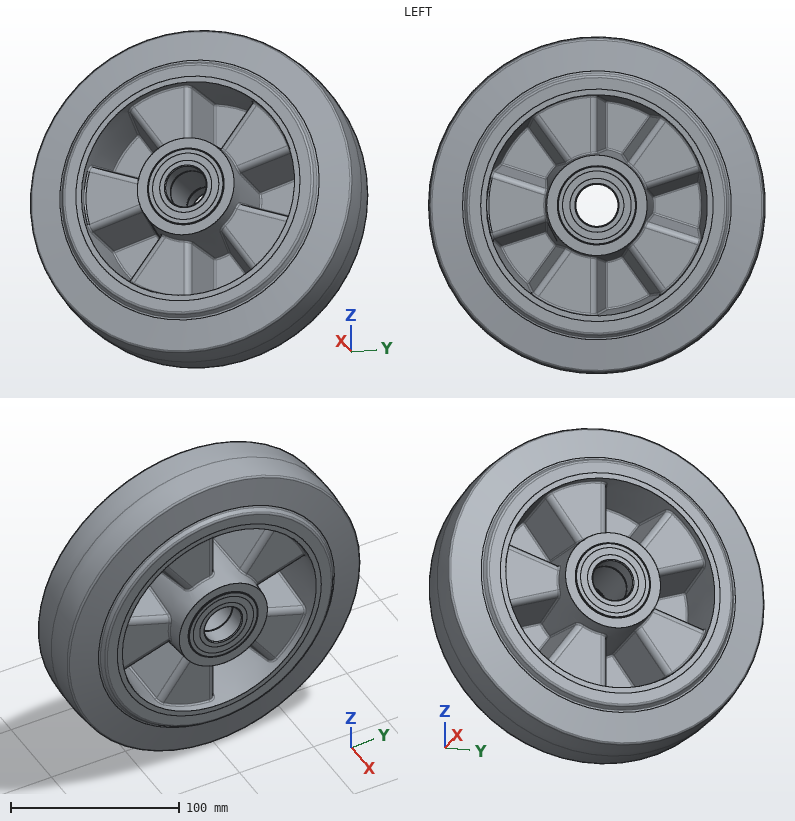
import cadquery as cq
import math

TYRE_RADIUS = 100.0
HUB_WIDTH = 60.0
RIM_WIDTH = 50.0

TYRE_BORE_RADIUS = 69.0
RIM_EDGE_RADIUS = 75.8
BEAD_TOP_RADIUS = 77.2
BEAD_TOP_HALF_WIDTH = 24.2
BEAD_FOOT_RADIUS = 78.5
BEAD_FOOT_HALF_WIDTH = 21.8
SIDEWALL_FOOT_RADIUS = 79.8
SIDEWALL_FOOT_HALF_WIDTH = 21.5
SIDEWALL_TOP_RADIUS = 98.0
SIDEWALL_TOP_HALF_WIDTH = 18.8
TREAD_EDGE_RADIUS = 99.0
TREAD_EDGE_HALF_WIDTH = 17.5
CORNER_BULGE = 0.15

HUB_RADIUS = 29.8
POCKET_RADIUS = 65.5
POCKET_DRAFT = 5.0
SPOKE_DRAFT = 10.0
WEB_HALF_SPAN = 19.5
WEB_THICKNESS = 5.0
SPOKE_THICKNESS = 6.0
DEEP_POCKETS = 5
HUB_TRIM = 2.0
SPOKE_EDGE_FILLET = 4.0
POCKET_FILLET = 1.0

BEARING_WIDTH = 12.0
BEARING_DIAMETER = 47.0
OUTER_RING_BORE_RADIUS = 20.5
INNER_RING_RADIUS = 16.0
BORE_DIAMETER = 25.0
RING_CHAMFER = 0.5

TOLERANCE = 0.02

half_hub = HUB_WIDTH / 2
half_rim = RIM_WIDTH / 2
bearing_radius = BEARING_DIAMETER / 2
bore_radius = BORE_DIAMETER / 2
seat_x = half_hub - BEARING_WIDTH
deep_floor_x = WEB_HALF_SPAN - WEB_THICKNESS
pocket_slope = math.tan(math.radians(POCKET_DRAFT))
spoke_slope = math.tan(math.radians(SPOKE_DRAFT))


def spin(profile):
    """Revolve a closed profile, drawn as (x, radius) in the XY plane, about the X axis."""
    return profile.close().revolve(360, (0, 0, 0), (1, 0, 0))


def tube(x_start, x_end, inner_radius, outer_radius):
    ring = cq.Workplane("YZ", origin=(x_start, 0, 0))
    return ring.circle(outer_radius).circle(inner_radius).extrude(x_end - x_start)


def round_point(start, end, bulge):
    """Middle point of a shallow arc, pushed off the chord to its left by bulge times the chord."""
    dx = end[0] - start[0]
    dy = end[1] - start[1]
    return ((start[0] + end[0]) / 2 - bulge * dy, (start[1] + end[1]) / 2 + bulge * dx)


def make_tyre():
    face_edge = (-half_rim, RIM_EDGE_RADIUS)
    bead_top = (-BEAD_TOP_HALF_WIDTH, BEAD_TOP_RADIUS)
    bead_foot = (-BEAD_FOOT_HALF_WIDTH, BEAD_FOOT_RADIUS)
    sidewall_foot = (-SIDEWALL_FOOT_HALF_WIDTH, SIDEWALL_FOOT_RADIUS)
    sidewall_top = (-SIDEWALL_TOP_HALF_WIDTH, SIDEWALL_TOP_RADIUS)
    tread_edge = (-TREAD_EDGE_HALF_WIDTH, TREAD_EDGE_RADIUS)
    crown = (0, TYRE_RADIUS)
    tread_middle = (-TREAD_EDGE_HALF_WIDTH / 2, TYRE_RADIUS - (TYRE_RADIUS - TREAD_EDGE_RADIUS) / 4)
    half = spin(
        cq.Workplane("XY")
        .moveTo(0, TYRE_BORE_RADIUS)
        .lineTo(-half_rim, TYRE_BORE_RADIUS)
        .lineTo(*face_edge)
        .threePointArc(round_point(face_edge, bead_top, CORNER_BULGE), bead_top)
        .lineTo(*bead_foot)
        .threePointArc(round_point(bead_foot, sidewall_foot, -CORNER_BULGE), sidewall_foot)
        .lineTo(*sidewall_top)
        .threePointArc(round_point(sidewall_top, tread_edge, CORNER_BULGE), tread_edge)
        .threePointArc(tread_middle, crown)
    )
    return half.union(half.mirror("YZ"))


def annular_pocket(floor_x):
    """Ring between the drafted hub and rim walls, from the hub face down to floor_x."""
    hub_foot = HUB_RADIUS + (floor_x + half_hub) * pocket_slope
    rim_foot = POCKET_RADIUS - (floor_x + half_rim) * pocket_slope
    rim_mouth = POCKET_RADIUS + (half_hub - half_rim) * pocket_slope
    return spin(
        cq.Workplane("XY")
        .moveTo(-half_hub, HUB_RADIUS)
        .lineTo(floor_x, hub_foot)
        .lineTo(floor_x, rim_foot)
        .lineTo(-half_hub, rim_mouth)
    )


def is_spoke_edge(edge):
    """True for an edge lying in the shallow floors of the -X side."""
    return abs(edge.Center().x + WEB_HALF_SPAN) < TOLERANCE


def is_pocket_corner(edge):
    """True for the edges where pocket walls meet a floor or each other."""
    middle = edge.positionAt(0.5)
    below_mouth = middle.x > -WEB_HALF_SPAN - TOLERANCE
    radial = edge.geomType() == "LINE" and abs(edge.tangentAt(0.5).x) < TOLERANCE
    at_deep_floor = abs(middle.x - deep_floor_x) < TOLERANCE
    return below_mouth and (at_deep_floor or not radial)


def deep_sector():
    """Wedge between two spokes, narrowing with depth, pointing to -Y."""
    half_angle = math.radians(180 / (2 * DEEP_POCKETS))
    wall_offset = SPOKE_THICKNESS / 2 - half_hub * spoke_slope
    apex = wall_offset / math.sin(half_angle)
    reach = TYRE_RADIUS
    half_opening = (reach - apex) * math.tan(half_angle)
    mouth = cq.Plane(origin=(-half_hub, 0, 0), xDir=(0, -1, 0), normal=(1, 0, 0))
    wedge = (
        cq.Workplane(mouth)
        .polyline([(apex, 0), (reach, -half_opening), (reach, half_opening)])
        .close()
        .extrude(half_hub + deep_floor_x, taper=SPOKE_DRAFT)
    )
    return wedge.intersect(annular_pocket(deep_floor_x))


def side_pockets():
    """All the hollow on the -X side: a shallow ring with deep sectors below its floor."""
    hollow = annular_pocket(-WEB_HALF_SPAN)
    sector = deep_sector()
    for i in range(DEEP_POCKETS):
        hollow = hollow.union(sector.rotate((0, 0, 0), (1, 0, 0), i * 360 / DEEP_POCKETS))
    spoke_edges = hollow.edges("%LINE").filter(is_spoke_edge)
    hollow = spoke_edges.fillet(SPOKE_EDGE_FILLET)
    corner_edges = hollow.edges().filter(is_pocket_corner)
    return corner_edges.fillet(POCKET_FILLET)


def make_core():
    hub_blank_radius = HUB_RADIUS + HUB_TRIM
    core = spin(
        cq.Workplane("XY")
        .moveTo(-seat_x, INNER_RING_RADIUS)
        .lineTo(-seat_x, bearing_radius)
        .lineTo(-half_hub, bearing_radius)
        .lineTo(-half_hub, hub_blank_radius)
        .lineTo(-half_rim, hub_blank_radius)
        .lineTo(-half_rim, TYRE_BORE_RADIUS)
        .lineTo(half_rim, TYRE_BORE_RADIUS)
        .lineTo(half_rim, hub_blank_radius)
        .lineTo(half_hub, hub_blank_radius)
        .lineTo(half_hub, bearing_radius)
        .lineTo(seat_x, bearing_radius)
        .lineTo(seat_x, INNER_RING_RADIUS)
    )
    hollow = side_pockets()
    return core.cut(hollow).cut(hollow.rotate((0, 0, 0), (0, 0, 1), 180))


def bearing_outer_ring():
    ring = tube(-half_hub, -seat_x, OUTER_RING_BORE_RADIUS, bearing_radius)
    return ring.edges(cq.selectors.RadiusNthSelector(1)).chamfer(RING_CHAMFER)


def bearing_inner_ring():
    ring = tube(-half_hub, -seat_x, bore_radius, INNER_RING_RADIUS)
    return ring.edges(cq.selectors.RadiusNthSelector(0)).chamfer(RING_CHAMFER)


def bearing_seal():
    return tube(-half_hub, -seat_x, INNER_RING_RADIUS, OUTER_RING_BORE_RADIUS)


spacer = tube(-seat_x, seat_x, bore_radius, INNER_RING_RADIUS)

tyre = make_tyre()
core = make_core()
bearings = []
for make_part in (bearing_outer_ring, bearing_inner_ring, bearing_seal):
    part = make_part()
    bearings.append(part.val())
    bearings.append(part.mirror("YZ").val())

result = cq.Compound.makeCompound([tyre.val(), core.val(), spacer.val(), *bearings])